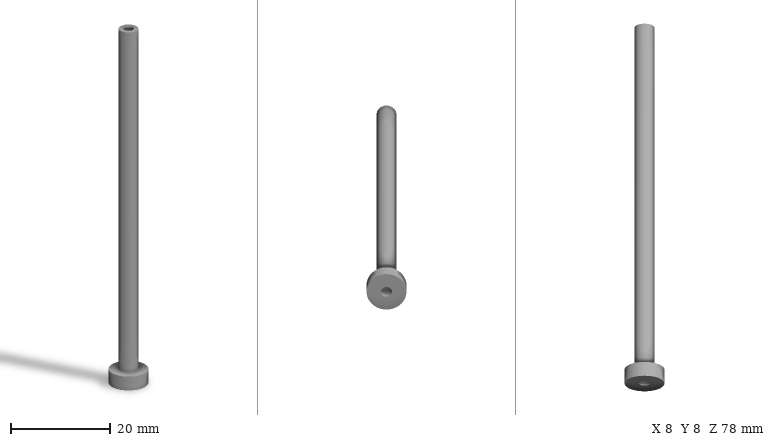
import cadquery as cq

total_length = 78.0
head_diameter = 8.0
head_thickness = 3.05
tube_diameter = 4.0
bore_diameter = 2.2
neck_fillet_radius = 0.3

head_radius = head_diameter / 2
tube_radius = tube_diameter / 2

head = cq.Workplane("XY").circle(head_radius).extrude(head_thickness)
tube = cq.Workplane("XY").circle(tube_radius).extrude(total_length)
body = head.union(tube)

neck_edge = cq.selectors.RadiusNthSelector(0)
body = body.faces("<Z[1]").edges(neck_edge).fillet(neck_fillet_radius)

bore = cq.Workplane("XY").circle(bore_diameter / 2).extrude(total_length)
result = body.cut(bore)